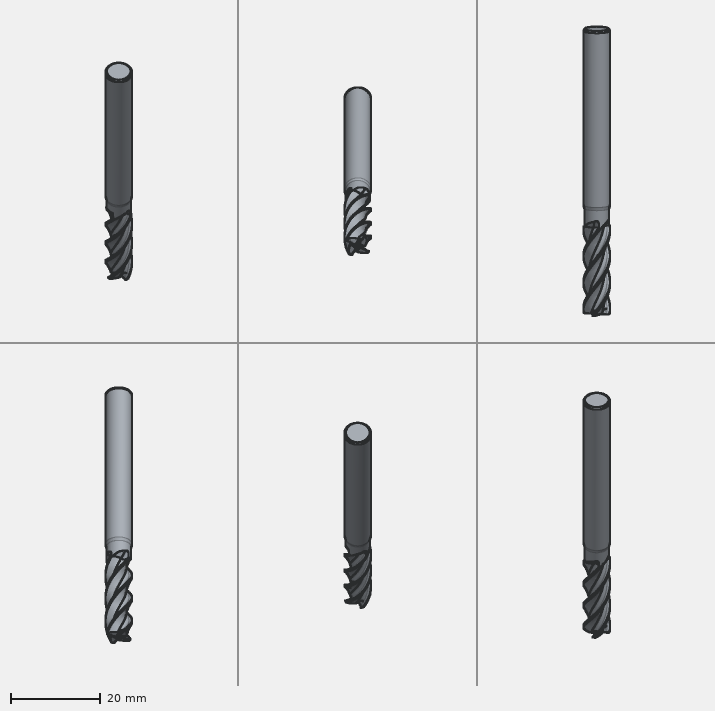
import cadquery as cq
import math

TOTAL_LENGTH = 65.0
SHANK_RADIUS = 3.0
NECK_RADIUS = 2.8
CUTTER_LENGTH = 20.0
NECK_TOP = 24.05
CONE_TOP = 24.8
TOP_CHAMFER_WIDTH = 0.3
TOP_CHAMFER_HEIGHT = 0.45

TOOTH_COUNT = 4
HELIX_ANGLE = 38.0
LAND_ANGLE = 8.5
ROOT_RADIUS = 1.75
ROOT_ANGLE = 58.0
RAKE_FOOT_RADIUS = 2.3
RAKE_FOOT_ANGLE = 2.0
BACK_BULGE = 0.1
FLUTE_SAG = 0.4

CORNER_RADIUS = 0.45
END_LAND_WIDTH = 0.25
RELIEF_ANGLE = 12.0
GASH_CENTER_HEIGHT = 0.3
GASH_RISE_ANGLE = 24.0
GASH_WALL_TILT = 32.0
GASH_FLOOR_WIDTH = 0.5
GASH_SIDE_ANGLE = 50.0

CLEARANCE = 0.65

RUNOUT_ANGLE = 38.0
RUNOUT_HEIGHT = 2.6
RUNOUT_REACH = 5.85


def tangent(angle):
    """Tangent of an angle in degrees."""
    return math.tan(math.radians(angle))


TOOTH_PITCH = 360.0 / TOOTH_COUNT
LEAD = 2 * math.pi * SHANK_RADIUS / tangent(HELIX_ANGLE)
CUTTER_TWIST = 360.0 * CUTTER_LENGTH / LEAD


def polar(radius, angle):
    """Point at a radius and an angle in degrees."""
    return (radius * math.cos(math.radians(angle)), radius * math.sin(math.radians(angle)))


def bulged_middle(start, end, bulge):
    """Middle of a chord, moved to the right of its direction by the bulge."""
    dx = end[0] - start[0]
    dy = end[1] - start[1]
    length = math.hypot(dx, dy)
    return (
        (start[0] + end[0]) / 2 + bulge * dy / length,
        (start[1] + end[1]) / 2 - bulge * dx / length,
    )


def flute_points(edge_angle):
    """Heel, root, flute middle, rake foot and next cutting edge of one flute."""
    next_angle = edge_angle + TOOTH_PITCH
    heel = polar(SHANK_RADIUS, edge_angle + LAND_ANGLE)
    root = polar(ROOT_RADIUS, edge_angle + ROOT_ANGLE)
    rake_foot = polar(RAKE_FOOT_RADIUS, next_angle + RAKE_FOOT_ANGLE)
    next_edge = polar(SHANK_RADIUS, next_angle)
    return heel, root, bulged_middle(root, rake_foot, -FLUTE_SAG), rake_foot, next_edge


def make_cutter():
    """Fluted cutting body with helical teeth and ground end teeth."""
    section = cq.Workplane("XY").moveTo(SHANK_RADIUS, 0)
    for tooth in range(TOOTH_COUNT):
        edge_angle = tooth * TOOTH_PITCH
        heel, root, flute_middle, rake_foot, next_edge = flute_points(edge_angle)
        section = section.threePointArc(polar(SHANK_RADIUS, edge_angle + LAND_ANGLE / 2), heel)
        section = section.threePointArc(bulged_middle(heel, root, BACK_BULGE), root)
        section = section.threePointArc(flute_middle, rake_foot).lineTo(*next_edge)
    cutter = section.close().twistExtrude(CUTTER_LENGTH, CUTTER_TWIST)
    cutter = cutter.cut(make_corner_round())
    for tooth in range(TOOTH_COUNT):
        edge_angle = tooth * TOOTH_PITCH
        cutter = cutter.cut(make_gash(edge_angle)).cut(make_relief(edge_angle))
    return cutter


def make_corner_round():
    """Ring that rounds the outer corner of the end teeth."""
    center_radius = SHANK_RADIUS - CORNER_RADIUS
    diagonal = CORNER_RADIUS * math.sqrt(0.5)
    corner_middle = (center_radius + diagonal, CORNER_RADIUS - diagonal)
    ring = (
        cq.Workplane("XZ")
        .moveTo(center_radius, 0)
        .threePointArc(corner_middle, (SHANK_RADIUS, CORNER_RADIUS))
        .lineTo(SHANK_RADIUS + CLEARANCE, CORNER_RADIUS)
        .lineTo(SHANK_RADIUS + CLEARANCE, -CLEARANCE)
        .lineTo(center_radius, -CLEARANCE)
        .close()
    )
    return ring.revolve(360, (0, 0, 0), (0, 1, 0))


def make_gash(edge_angle):
    """Groove in front of one end tooth, with its floor rising outward from the axis."""
    reach = SHANK_RADIUS + CLEARANCE
    rise = reach * tangent(GASH_RISE_ANGLE)
    bottom = -rise - CLEARANCE
    floor_start = GASH_CENTER_HEIGHT * tangent(GASH_WALL_TILT)
    floor_end = floor_start - GASH_FLOOR_WIDTH
    side_run = (GASH_CENTER_HEIGHT - bottom) / tangent(GASH_SIDE_ANGLE)
    outline = (
        cq.Workplane("YZ")
        .moveTo(floor_start, GASH_CENTER_HEIGHT)
        .lineTo(floor_end, GASH_CENTER_HEIGHT)
        .lineTo(floor_end - side_run, bottom)
        .lineTo(bottom * tangent(GASH_WALL_TILT), bottom)
        .close()
    )
    path = cq.Vector(reach, rise * tangent(GASH_WALL_TILT), rise)
    gash = cq.Workplane(cq.Solid.extrudeLinear(outline.val(), [], path))
    return gash.rotate((0, 0, 0), (0, 0, 1), edge_angle)


def make_relief(edge_angle):
    """Wedge that slopes one end face up behind its narrow end land."""
    reach = SHANK_RADIUS + CLEARANCE
    rise = (reach - END_LAND_WIDTH) * tangent(RELIEF_ANGLE)
    wedge = (
        cq.Workplane("YZ")
        .moveTo(END_LAND_WIDTH, 0)
        .lineTo(reach, rise)
        .lineTo(reach, -CLEARANCE)
        .lineTo(END_LAND_WIDTH, -CLEARANCE)
        .close()
        .extrude(reach)
    )
    return wedge.rotate((0, 0, 0), (0, 0, 1), edge_angle)


def make_runout(edge_angle):
    """Flute shape carried on into the neck, rising outward along the rake face."""
    heel, root, flute_middle, rake_foot, next_edge = flute_points(edge_angle)
    next_angle = edge_angle + TOOTH_PITCH
    outline = (
        cq.Workplane("XY", origin=(0, 0, CUTTER_LENGTH))
        .moveTo(*heel)
        .threePointArc(bulged_middle(heel, root, BACK_BULGE), root)
        .threePointArc(flute_middle, rake_foot)
        .lineTo(*next_edge)
        .lineTo(*polar(RUNOUT_REACH, next_angle))
        .lineTo(*polar(RUNOUT_REACH, edge_angle + LAND_ANGLE))
        .close()
    )
    shift = polar(RUNOUT_HEIGHT * tangent(RUNOUT_ANGLE), next_angle)
    path = cq.Vector(*shift, RUNOUT_HEIGHT)
    return cq.Workplane(cq.Solid.extrudeLinear(outline.val(), [], path))


def make_shank():
    """Chamfered shank with a stepped-down neck that the flutes run out into."""
    profile = (
        cq.Workplane("XZ")
        .moveTo(0, CUTTER_LENGTH)
        .lineTo(NECK_RADIUS, CUTTER_LENGTH)
        .lineTo(NECK_RADIUS, NECK_TOP)
        .lineTo(SHANK_RADIUS, CONE_TOP)
        .lineTo(SHANK_RADIUS, TOTAL_LENGTH - TOP_CHAMFER_HEIGHT)
        .lineTo(SHANK_RADIUS - TOP_CHAMFER_WIDTH, TOTAL_LENGTH)
        .lineTo(0, TOTAL_LENGTH)
        .close()
    )
    shank = profile.revolve(360, (0, 0, 0), (0, 1, 0))
    for tooth in range(TOOTH_COUNT):
        shank = shank.cut(make_runout(CUTTER_TWIST + tooth * TOOTH_PITCH))
    return shank


cutter = make_cutter()
shank = make_shank()
result = cq.Compound.makeCompound([shank.val(), cutter.val()])